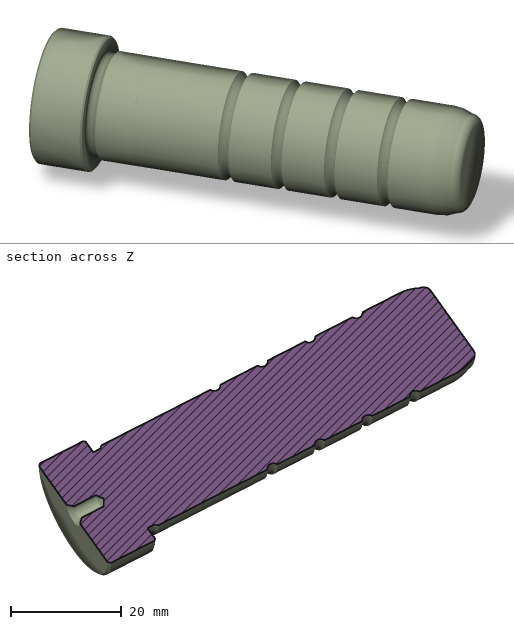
import cadquery as cq
import math

total_length = 80.0
head_length = 10.0
head_radius = 12.5
shaft_radius = 10.0

head_front_chamfer = 0.5
head_rear_chamfer = 0.3

neck_radius = 9.5
neck_end = 11.4

fit_radius = shaft_radius + 0.02
fit_end = 18.8
neck_step = fit_radius - neck_radius

groove_count = 4
groove_pitch = 10.0
first_groove_center = 36.0
groove_width = 2.0
groove_depth = 0.7

taper_start = 75.0
taper_end = 78.5
taper_end_radius = 9.1
taper_bulge = 0.22
tip_face_radius = 7.4

hole_radius = 1.4
countersink_radius = 2.3
countersink_half_angle = 45.0
hole_depth = 5.6
drill_half_angle = 59.0


def make_pin():
    """Revolve the stepped outline of head, neck, shaft and tip."""
    taper_middle = ((taper_start + taper_end) / 2, (shaft_radius + taper_end_radius) / 2 + taper_bulge)
    round_length = total_length - taper_end
    round_drop = taper_end_radius - tip_face_radius
    round_middle = (
        taper_end + round_length * math.sin(math.pi / 4),
        tip_face_radius + round_drop * math.cos(math.pi / 4),
    )
    outline = (
        cq.Workplane("XY")
        .moveTo(0, 0)
        .lineTo(0, head_radius - head_front_chamfer)
        .lineTo(head_front_chamfer, head_radius)
        .lineTo(head_length - head_rear_chamfer, head_radius)
        .lineTo(head_length, head_radius - head_rear_chamfer)
        .lineTo(head_length, neck_radius)
        .lineTo(neck_end, neck_radius)
        .lineTo(neck_end + neck_step, fit_radius)
        .lineTo(fit_end, fit_radius)
        .lineTo(fit_end, shaft_radius)
        .lineTo(taper_start, shaft_radius)
        .threePointArc(taper_middle, (taper_end, taper_end_radius))
        .threePointArc(round_middle, (total_length, tip_face_radius))
        .lineTo(total_length, 0)
        .close()
    )
    return outline.revolve(360, (0, 0, 0), (1, 0, 0))


def make_groove(center):
    """Ring with a circular-arc bottom, to be cut from the shaft surface."""
    half_width = groove_width / 2
    outline = (
        cq.Workplane("XY")
        .moveTo(center - half_width, shaft_radius)
        .threePointArc((center, shaft_radius - groove_depth), (center + half_width, shaft_radius))
        .lineTo(center + half_width, head_radius)
        .lineTo(center - half_width, head_radius)
        .close()
    )
    return outline.revolve(360, (0, 0, 0), (1, 0, 0))


def make_center_hole():
    """Countersunk blind hole with a conical drill bottom."""
    countersink_depth = (countersink_radius - hole_radius) / math.tan(math.radians(countersink_half_angle))
    point_length = hole_radius / math.tan(math.radians(drill_half_angle))
    outline = (
        cq.Workplane("XY")
        .moveTo(0, 0)
        .lineTo(0, countersink_radius)
        .lineTo(countersink_depth, hole_radius)
        .lineTo(hole_depth, hole_radius)
        .lineTo(hole_depth + point_length, 0)
        .close()
    )
    return outline.revolve(360, (0, 0, 0), (1, 0, 0))


result = make_pin().cut(make_center_hole())
for index in range(groove_count):
    result = result.cut(make_groove(first_groove_center + index * groove_pitch))